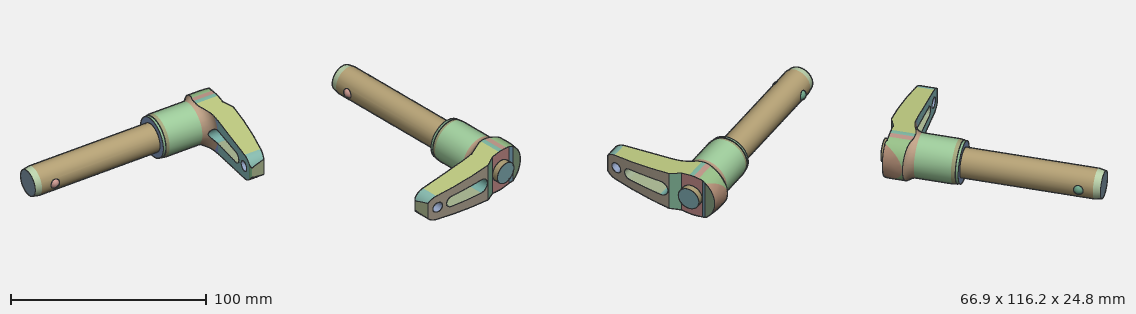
import cadquery as cq
import math

overall_length = 116.2
button_top = 42.2

shank_radius = 8.0
shank_length = overall_length - button_top
shank_nose_radius = 7.3
shank_nose_length = 3.7

ball_radius = 2.9
ball_reach = 9.5
ball_y = -62.5

collar_radius = 23.6 / 2
collar_step_radius = 11.3
collar_step_height = 1.5
collar_taper_radius = 11.5
collar_taper_top = 3.6
flare_start = 23.1
flare_radius = 5.8
flare_top = flare_start + flare_radius

button_radius = 6.0

hub_radius = 24.8 / 2
heel_radius = 12.1
heel_x = -3.0
tip_radius = 7.5
tip_x = 45.0
tip_hole_radius = 2.9
slot_inner_x = 16.7
slot_inner_radius = 4.2
slot_outer_x = 36.3
slot_outer_radius = 3.3

heel_end = heel_x - heel_radius
heel_top = 39.4
seat_height = 38.7
seat_half_width = 6.2
heel_flat_end = -8.1
crest_x = 12.0
crest_height = 41.4
handle_end = 52.0
tip_edge_radius = 1.0
tip_bottom = 27.3
tip_top_x = 50.8
tip_top = 36.1
crest_arc_mid = (32.5, 39.6)

relief_bottom_radius = -heel_end
relief_bottom = 28.5
relief_top_radius = 13.7


def revolve_about_pin(profile):
    """Revolve a closed radius/Y profile about the pin axis."""
    return profile.close().revolve(360, (0, 0, 0), (0, 1, 0))


def tapered_slot(x1, r1, x2, r2, y_low, y_high):
    """Extrude the outline around two circles joined by their outer tangents."""
    lean = (r1 - r2) / (x2 - x1)
    rise = math.sqrt(1 - lean**2)
    outline = (
        cq.Workplane("XZ", origin=(0, y_high, 0))
        .moveTo(x1 + r1 * lean, r1 * rise)
        .lineTo(x2 + r2 * lean, r2 * rise)
        .threePointArc((x2 + r2, 0), (x2 + r2 * lean, -r2 * rise))
        .lineTo(x1 + r1 * lean, -r1 * rise)
        .threePointArc((x1 - r1, 0), (x1 + r1 * lean, r1 * rise))
        .close()
    )
    return outline.extrude(y_high - y_low)


def make_shank():
    nose_start = -shank_length + shank_nose_length
    return revolve_about_pin(
        cq.Workplane("XY")
        .moveTo(0, -shank_length)
        .lineTo(shank_nose_radius, -shank_length)
        .lineTo(shank_radius, nose_start)
        .lineTo(shank_radius, flare_start)
        .lineTo(0, flare_start)
    )


def make_balls():
    ball_x = ball_reach - ball_radius
    return cq.Workplane("XY").pushPoints([(-ball_x, ball_y), (ball_x, ball_y)]).sphere(ball_radius)


def make_collar():
    """Collar body with its stepped lower end and the flare below the handle."""
    flare_mid = flare_radius * (1 - math.sqrt(0.5))
    flare_mid_y = flare_start + flare_radius * math.sqrt(0.5)
    return revolve_about_pin(
        cq.Workplane("XY")
        .lineTo(collar_step_radius, 0)
        .lineTo(collar_step_radius, collar_step_height)
        .lineTo(collar_taper_radius, collar_step_height)
        .lineTo(collar_radius, collar_taper_top)
        .lineTo(collar_radius, flare_start)
        .threePointArc(
            (collar_radius + flare_mid, flare_mid_y),
            (collar_radius + flare_radius, flare_top),
        )
        .lineTo(0, flare_top)
    )


def make_handle_plan():
    hub_and_lever = tapered_slot(0, hub_radius, tip_x, tip_radius, 0, button_top)
    heel = tapered_slot(heel_x, heel_radius, 0, hub_radius, 0, button_top)
    return hub_and_lever.union(heel)


def make_handle_side():
    """Side shape of the handle, wide enough to span the whole plan."""
    return (
        cq.Workplane("XY")
        .moveTo(heel_end, flare_top)
        .lineTo(heel_end, heel_top)
        .lineTo(heel_flat_end, heel_top)
        .lineTo(-seat_half_width, seat_height)
        .lineTo(seat_half_width, seat_height)
        .lineTo(crest_x, crest_height)
        .threePointArc(crest_arc_mid, (tip_top_x, tip_top))
        .lineTo(handle_end, tip_bottom)
        .lineTo(collar_radius + flare_radius, flare_top)
        .close()
        .extrude(hub_radius, both=True)
        .edges("|Z and >X")
        .fillet(tip_edge_radius)
    )


def make_heel_relief():
    """Material outside a cone about the pin axis, on the heel side only."""
    slope = (relief_bottom_radius - relief_top_radius) / (heel_top - relief_bottom)
    cone_top_radius = relief_top_radius - slope * (button_top - heel_top)
    outer = 2 * hub_radius
    ring = revolve_about_pin(
        cq.Workplane("XY")
        .moveTo(relief_bottom_radius, relief_bottom)
        .lineTo(outer, relief_bottom)
        .lineTo(outer, button_top)
        .lineTo(cone_top_radius, button_top)
    )
    heel_side = cq.Workplane("XY").box(outer, overall_length, 2 * outer).translate((-outer / 2, 0, 0))
    return ring.intersect(heel_side)


def make_button():
    return (
        cq.Workplane("XZ", origin=(0, button_top, 0))
        .circle(button_radius)
        .extrude(button_top - flare_start)
    )


plan = make_handle_plan()
collar = make_collar()
collar_below_flare = collar.intersect(
    cq.Workplane("XZ", origin=(0, flare_start, 0)).circle(hub_radius).extrude(flare_start)
)
flare = collar.intersect(plan)
head = flare.union(make_handle_side().intersect(plan)).cut(make_heel_relief())

slot = tapered_slot(
    slot_inner_x, slot_inner_radius, slot_outer_x, slot_outer_radius, flare_start, button_top
)
tip_hole = (
    cq.Workplane("XZ", origin=(tip_x, button_top, 0)).circle(tip_hole_radius).extrude(button_top)
)
head = head.cut(slot).cut(tip_hole)

result = head.union(collar_below_flare).union(make_shank()).union(make_balls()).union(make_button())